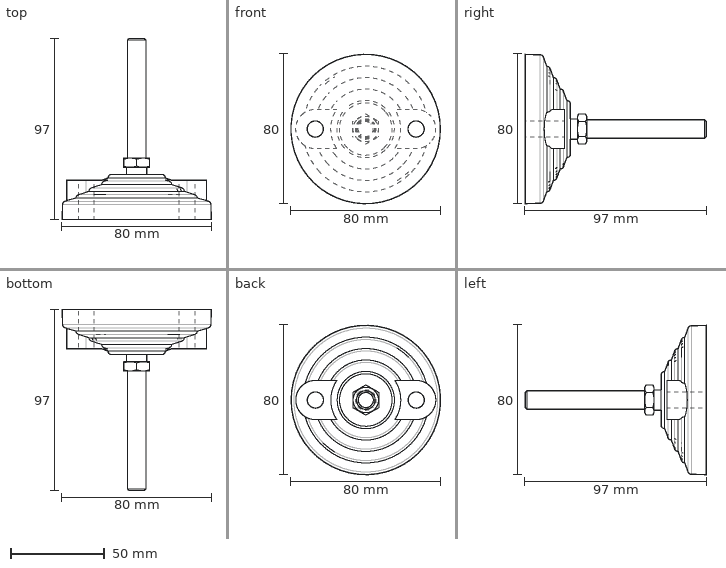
import cadquery as cq
import math


sole_diameter = 80.0
rim_radius = 39.8
rim_height = 8.05
tier_count = 5
tier_drop = 6.1
tier_rounding = 1.9
slope_angle = math.radians(20)

lug_spacing = 53.9
lug_width = 21.0
lug_top = 21.1
lug_hole_diameter = 8.5

overall_length = 97.0
stud_diameter = 10.0
tip_chamfer = 1.0
neck_diameter = 11.0
neck_bottom = 24.25
stem_diameter = 9.3
hex_bottom = 27.9
hex_height = 5.1
hex_across_flats = 14.0
hex_face_diameter = 13.6
hex_chamfer_angle = math.radians(30)

edge_rise = tier_rounding * math.cos(slope_angle)
edge_run = tier_rounding * (1 - math.sin(slope_angle))
half_slope = (math.pi / 2 - slope_angle) / 2
edge_mid_rise = tier_rounding * math.sin(half_slope)
edge_mid_run = tier_rounding * (1 - math.cos(half_slope))
tier_rise = edge_rise + (tier_drop - edge_run) * math.tan(slope_angle)
pad_top = rim_height + (tier_count - 1) * tier_rise + edge_rise


def cylinder(diameter, bottom, top, x=0):
    """Cylinder along Y between two heights."""
    return cq.Workplane("XZ", origin=(x, bottom, 0)).circle(diameter / 2).extrude(bottom - top)


def make_tiers():
    """Drafted rim and stepped cone, turned about Y."""
    outline = cq.Workplane("XY").lineTo(sole_diameter / 2, 0)
    for tier in range(tier_count):
        radius = rim_radius - tier * tier_drop
        height = rim_height + tier * tier_rise
        outline = outline.lineTo(radius, height).threePointArc(
            (radius - edge_mid_run, height + edge_mid_rise),
            (radius - edge_run, height + edge_rise),
        )
    return outline.lineTo(0, pad_top).close().revolve(360, (0, 0, 0), (0, 1, 0))


def make_pad():
    """Stepped pad with two round-ended lugs and their through holes."""
    lugs = cq.Workplane("XZ").slot2D(lug_spacing + lug_width, lug_width).extrude(-lug_top)
    pad = make_tiers().union(lugs)
    for side in (-1, 1):
        pad = pad.cut(cylinder(lug_hole_diameter, 0, lug_top, side * lug_spacing / 2))
    return pad


def make_hexagon():
    """Hexagon with flats facing +X and -X and both ends chamfered."""
    corner_diameter = hex_across_flats / math.cos(math.pi / 6)
    corner_radius = corner_diameter / 2
    face_radius = hex_face_diameter / 2
    chamfer_rise = (corner_radius - face_radius) * math.tan(hex_chamfer_angle)
    hex_top = hex_bottom + hex_height
    prism = (
        cq.Workplane("XZ", origin=(0, hex_bottom, 0))
        .transformed(rotate=(0, 0, 90))
        .polygon(6, corner_diameter)
        .extrude(-hex_height)
    )
    turned_blank = (
        cq.Workplane("XY")
        .moveTo(0, hex_bottom)
        .lineTo(face_radius, hex_bottom)
        .lineTo(corner_radius, hex_bottom + chamfer_rise)
        .lineTo(corner_radius, hex_top - chamfer_rise)
        .lineTo(face_radius, hex_top)
        .lineTo(0, hex_top)
        .close()
        .revolve(360, (0, 0, 0), (0, 1, 0))
    )
    return prism.intersect(turned_blank)


def make_stud():
    """Stud with a chamfered tip, a hexagon, a neck and a stem standing on the pad."""
    shank = cylinder(stud_diameter, hex_bottom, overall_length).faces(">Y").chamfer(tip_chamfer)
    neck = cylinder(neck_diameter, neck_bottom, hex_bottom)
    stem = cylinder(stem_diameter, pad_top, neck_bottom)
    return shank.union(make_hexagon()).union(neck).union(stem)


pad = make_pad()
stud = make_stud()
result = cq.Compound.makeCompound([pad.val(), stud.val()])